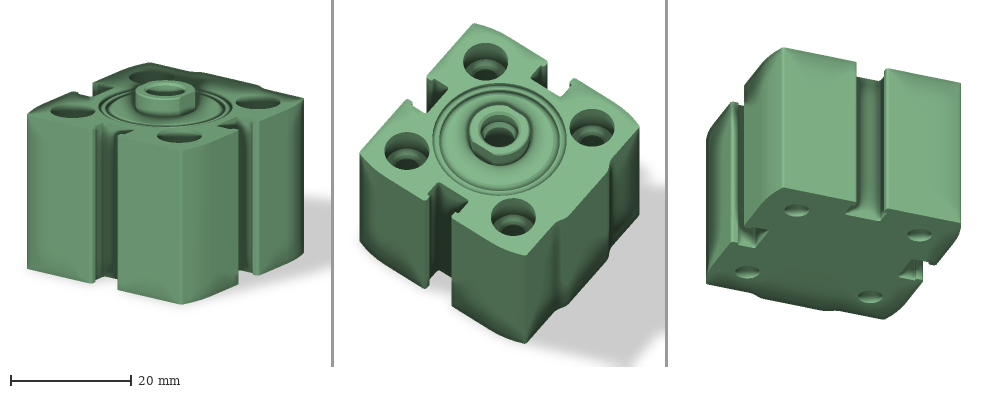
import cadquery as cq
import math


HALF_WIDTH = 17.25
HOUSING_HEIGHT = 26.98
SIDE_FLAT_HALF = 10.8
SIDE_ARC_RADIUS = 16.7
CORNER_RADIUS = 0.5

PAD_RISE = 1.0
PAD_TOP_HALF = 5.05
PAD_BASE_HALF = 8.3

SLOT_DEPTH = 4.5
SLOT_HALF_WIDTH = 3.23
SLOT_MOUTH_HALF = 2.6
SLOT_LIP = 1.35
SLOT_MOUTH_RADIUS = 0.5
SLOT_LIP_RADIUS = 0.25
SLOT_FLOOR_RADIUS = 0.5

FIXING_OFFSET = 11.0
FIXING_DIAMETER = 4.12
FIXING_CHAMFER_DIAMETER = 4.95
COUNTERBORE_DIAMETER = 7.5
COUNTERBORE_DEPTH = 5.0

OUTER_GROOVE_RADIUS = 11.2
OUTER_GROOVE_DEPTH = 0.75
CREST_OUTER_RADIUS = 10.33
CREST_INNER_RADIUS = 10.15
CREST_DEPTH = 0.18
INNER_GROOVE_RADIUS = 10.0
INNER_GROOVE_DEPTH = 0.92
COVER_EDGE_RADIUS = 9.25
COVER_EDGE_DEPTH = 0.4
COVER_FACE_RADIUS = 8.95
COVER_DEPTH = 0.18

ROD_DIAMETER = 10.0
ROD_TOP = 30.0
ROD_LENGTH = 20.0
ROD_TOP_CHAMFER = 0.2
ROD_ACROSS_FLATS = 9.0
FLAT_RUNOUT_ANGLE = 30.0
FLAT_BELOW_COVER = 0.7
ROD_BORE_CHAMFER = 0.15

SOCKET_DIAMETER = 6.4
SOCKET_CHAMFER_DIAMETER = 7.2
SOCKET_DEPTH = 2.6
DRILL_DIAMETER = 4.95
DRILL_CHAMFER_DIAMETER = 6.0
DRILL_DEPTH = 9.95
DRILL_TIP_ANGLE = 120.0

COVER_Z = HOUSING_HEIGHT - COVER_DEPTH
ROD_BOTTOM = ROD_TOP - ROD_LENGTH


def revolve_profile(points):
    """Turn a closed outline of (radius, height) points around the Z axis."""
    return cq.Workplane("XZ").polyline(points).close().revolve(360, (0, 0, 0), (0, 1, 0))


def side_arc_inset(rise):
    """How far the side arc has moved inwards at a given distance past the flat."""
    return SIDE_ARC_RADIUS - math.sqrt(SIDE_ARC_RADIUS**2 - rise**2)


def profile_block():
    """Extruded outline, with a pad on +Y that runs out along an S of two equal arcs at each end."""
    arc_rise = HALF_WIDTH - SIDE_FLAT_HALF
    corner_x = HALF_WIDTH - side_arc_inset(arc_rise)
    arc_x = HALF_WIDTH - side_arc_inset(arc_rise / 2)
    arc_y = SIDE_FLAT_HALF + arc_rise / 2
    pad_y = HALF_WIDTH + PAD_RISE
    bend_x = (PAD_BASE_HALF + PAD_TOP_HALF) / 2
    bend_y = HALF_WIDTH + PAD_RISE / 2
    block = (
        cq.Workplane("XY")
        .moveTo(-corner_x, -HALF_WIDTH)
        .lineTo(corner_x, -HALF_WIDTH)
        .threePointArc((arc_x, -arc_y), (HALF_WIDTH, -SIDE_FLAT_HALF))
        .lineTo(HALF_WIDTH, SIDE_FLAT_HALF)
        .threePointArc((arc_x, arc_y), (corner_x, HALF_WIDTH))
        .lineTo(PAD_BASE_HALF, HALF_WIDTH)
        .tangentArcPoint((bend_x, bend_y), relative=False)
        .tangentArcPoint((PAD_TOP_HALF, pad_y), relative=False)
        .lineTo(-PAD_TOP_HALF, pad_y)
        .tangentArcPoint((-bend_x, bend_y), relative=False)
        .tangentArcPoint((-PAD_BASE_HALF, HALF_WIDTH), relative=False)
        .lineTo(-corner_x, HALF_WIDTH)
        .threePointArc((-arc_x, arc_y), (-HALF_WIDTH, SIDE_FLAT_HALF))
        .lineTo(-HALF_WIDTH, -SIDE_FLAT_HALF)
        .threePointArc((-arc_x, -arc_y), (-corner_x, -HALF_WIDTH))
        .close()
        .extrude(HOUSING_HEIGHT)
    )
    for x in (-corner_x, corner_x):
        for y in (-HALF_WIDTH, HALF_WIDTH):
            block = round_upright_edge(block, x, y, CORNER_RADIUS)
    return block


def round_upright_edge(solid, x, y, radius):
    """Fillet the full-height housing edge that stands at (x, y)."""
    edge = cq.selectors.NearestToPointSelector((x, y, HOUSING_HEIGHT / 2))
    return solid.edges("|Z").edges(edge).fillet(radius)


def cut_sensor_slot(solid, direction):
    """Cut a T-shaped slot into the side that faces along direction, a unit vector in XY."""
    out_x, out_y = direction
    floor = HALF_WIDTH - SLOT_DEPTH
    neck = HALF_WIDTH - SLOT_LIP

    def place(out, across):
        return (out * out_x - across * out_y, out * out_y + across * out_x)

    half_outline = [
        (floor, SLOT_HALF_WIDTH, SLOT_FLOOR_RADIUS),
        (neck, SLOT_HALF_WIDTH, SLOT_LIP_RADIUS),
        (neck, SLOT_MOUTH_HALF, SLOT_LIP_RADIUS),
        (HALF_WIDTH, SLOT_MOUTH_HALF, SLOT_MOUTH_RADIUS),
    ]
    one_side = [place(out, across) for out, across, _ in half_outline]
    other_side = [place(out, -across) for out, across, _ in reversed(half_outline)]
    slot = cq.Workplane("XY").polyline(one_side + other_side).close().extrude(HOUSING_HEIGHT)
    solid = solid.cut(slot)
    for out, across, radius in half_outline:
        for side in (-1, 1):
            solid = round_upright_edge(solid, *place(out, side * across), radius)
    return solid


def fixing_hole():
    """Cutter for a through hole with a counterbore and a chamfer at the counterbore floor."""
    hole_radius = FIXING_DIAMETER / 2
    chamfer_radius = FIXING_CHAMFER_DIAMETER / 2
    floor = HOUSING_HEIGHT - COUNTERBORE_DEPTH
    return revolve_profile([
        (0, 0),
        (hole_radius, 0),
        (hole_radius, floor - (chamfer_radius - hole_radius)),
        (chamfer_radius, floor),
        (COUNTERBORE_DIAMETER / 2, floor),
        (COUNTERBORE_DIAMETER / 2, HOUSING_HEIGHT),
        (0, HOUSING_HEIGHT),
    ])


def end_face_rings():
    """Cutter for the recessed cover face and the two sloping ring grooves around it."""
    crest_z = HOUSING_HEIGHT - CREST_DEPTH
    return revolve_profile([
        (0, HOUSING_HEIGHT),
        (OUTER_GROOVE_RADIUS, HOUSING_HEIGHT),
        (OUTER_GROOVE_RADIUS, HOUSING_HEIGHT - OUTER_GROOVE_DEPTH),
        (CREST_OUTER_RADIUS, crest_z),
        (CREST_INNER_RADIUS, crest_z),
        (INNER_GROOVE_RADIUS, crest_z - (CREST_INNER_RADIUS - INNER_GROOVE_RADIUS)),
        (INNER_GROOVE_RADIUS, HOUSING_HEIGHT - INNER_GROOVE_DEPTH),
        (COVER_EDGE_RADIUS, HOUSING_HEIGHT - COVER_EDGE_DEPTH),
        (COVER_FACE_RADIUS, COVER_Z),
        (0, COVER_Z),
    ])


def rod_bore():
    """Cutter for the blind rod bore with its chamfered mouth."""
    radius = ROD_DIAMETER / 2
    return revolve_profile([
        (0, ROD_BOTTOM),
        (radius, ROD_BOTTOM),
        (radius, COVER_Z - ROD_BORE_CHAMFER),
        (radius + ROD_BORE_CHAMFER, COVER_Z),
        (0, COVER_Z),
    ])


def make_housing():
    housing = profile_block()
    for direction in ((-1, 0), (1, 0), (0, -1)):
        housing = cut_sensor_slot(housing, direction)
    for x in (-FIXING_OFFSET, FIXING_OFFSET):
        for y in (-FIXING_OFFSET, FIXING_OFFSET):
            housing = housing.cut(fixing_hole().translate((x, y, 0)))
    return housing.cut(end_face_rings()).cut(rod_bore())


def rod_flat(side):
    """Cutter for one wrench flat; its lower end slopes down and outwards."""
    inner = ROD_ACROSS_FLATS / 2
    outer = ROD_DIAMETER / 2 + ROD_TOP_CHAMFER
    flat_end = COVER_Z - FLAT_BELOW_COVER
    runout = (outer - inner) * math.tan(math.radians(FLAT_RUNOUT_ANGLE))
    return (
        cq.Workplane("XZ")
        .polyline([
            (side * inner, ROD_TOP),
            (side * inner, flat_end),
            (side * outer, flat_end - runout),
            (side * outer, ROD_TOP),
        ])
        .close()
        .extrude(ROD_DIAMETER / 2, both=True)
    )


def rod_socket():
    """Cutter for the chamfered socket and the drilled hole below it."""
    socket_radius = SOCKET_DIAMETER / 2
    mouth_radius = SOCKET_CHAMFER_DIAMETER / 2
    drill_radius = DRILL_DIAMETER / 2
    drill_mouth_radius = DRILL_CHAMFER_DIAMETER / 2
    floor = ROD_TOP - SOCKET_DEPTH
    drill_end = ROD_TOP - DRILL_DEPTH
    tip_length = drill_radius / math.tan(math.radians(DRILL_TIP_ANGLE / 2))
    return revolve_profile([
        (0, ROD_TOP),
        (mouth_radius, ROD_TOP),
        (socket_radius, ROD_TOP - (mouth_radius - socket_radius)),
        (socket_radius, floor),
        (drill_mouth_radius, floor),
        (drill_radius, floor - (drill_mouth_radius - drill_radius)),
        (drill_radius, drill_end),
        (0, drill_end - tip_length),
    ])


def make_rod():
    rod = cq.Workplane("XY").workplane(offset=ROD_BOTTOM).circle(ROD_DIAMETER / 2).extrude(ROD_LENGTH)
    rod = rod.faces(">Z").chamfer(ROD_TOP_CHAMFER)
    for side in (-1, 1):
        rod = rod.cut(rod_flat(side))
    return rod.cut(rod_socket())


housing = make_housing()
rod = make_rod()

result = cq.Compound.makeCompound([housing.val(), rod.val()])